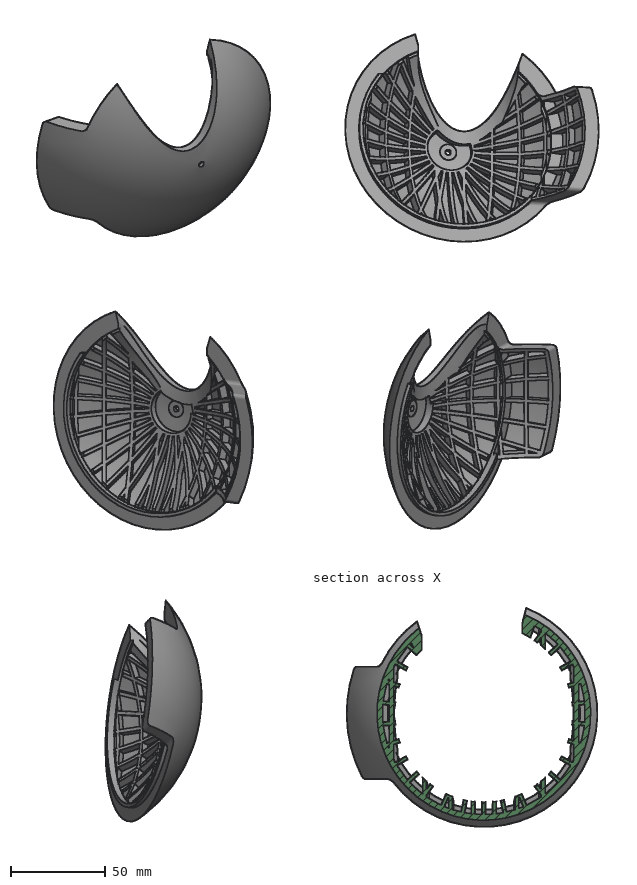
import cadquery as cq
import math

OUTER_R = 78.8
SKIN_R = 76.4
RIB_R = 72.0
RIM_R = 60.3
CENTRE_X = -math.sqrt(OUTER_R**2 - RIM_R**2)
SEAM_ANGLE = 99.0
REACH = 200.0

TAB_LENGTH = 48.7 - (OUTER_R + CENTRE_X)
TAB_TOP = 24.8
TAB_BOTTOM = -34.9
TAB_CORNER_R = 2.1
TAB_FRAME = 2.1

RIM_FRAME = 1.6
LIP_INNER_R = 51.0
LIP_OUTER_R = 52.9
LIP_HEIGHT = 2.2
LIP_TOP_Z = 31.3
LIP_END_Y = -39.9

RIB_WIDTH = 2.0
RIB_PITCH = 12.0
RIB_START = RIB_PITCH / 2
RADIAL_PLANES = 15
UPRIGHT_PAIRS = 5

HUB_R = 13.8
RECESS_R = 12.1
PAD_D = 8.9
PAD_HEIGHT = 0.2
HOLE_D = 3.0

OPENING_Y = -7.4
OPENING_BOTTOM = 11.3
OPENING_HALF_WIDTH = 36.9
OPENING_HALF_HEIGHT = 108.0
OPENING_BORDER = 7.3
RELIEF_Y = -6.3
RELIEF_HALF_WIDTH = 27.0
RELIEF_DEPTH = 22.6


def ball(radius):
    """Half ball around the centre of the bowl, with its seam turned into the opening."""
    quarter = (
        cq.Workplane("XY", origin=(CENTRE_X, 0, 0))
        .lineTo(radius, 0)
        .radiusArc((0, radius), -radius)
        .close()
    )
    half = quarter.revolve(360, (0, 0, 0), (1, 0, 0))
    return half.rotate((0, 0, 0), (1, 0, 0), SEAM_ANGLE)


def block(x_range, y_range, z_range):
    sizes = [high - low for low, high in (x_range, y_range, z_range)]
    lows = (x_range[0], y_range[0], z_range[0])
    return cq.Workplane("XY").box(*sizes, centered=False).translate(lows)


def rod(radius, x_start, x_end):
    return cq.Workplane("YZ", origin=(x_start, 0, 0)).circle(radius).extrude(x_end - x_start)


def front_region():
    """Everything in front of the rim plane, plus the rounded outline of the tab."""
    r = TAB_CORNER_R
    outline = (
        cq.Workplane("XZ")
        .moveTo(0, -REACH)
        .lineTo(0, TAB_BOTTOM - r)
        .radiusArc((-r, TAB_BOTTOM), -r)
        .lineTo(r - TAB_LENGTH, TAB_BOTTOM)
        .radiusArc((-TAB_LENGTH, TAB_BOTTOM + r), r)
        .lineTo(-TAB_LENGTH, TAB_TOP - r)
        .radiusArc((r - TAB_LENGTH, TAB_TOP), r)
        .lineTo(-r, TAB_TOP)
        .radiusArc((0, TAB_TOP + r), -r)
        .lineTo(0, REACH)
        .lineTo(REACH, REACH)
        .lineTo(REACH, -REACH)
        .close()
    )
    tab_side = outline.extrude(REACH)
    return tab_side.union(block((0, REACH), (-1, REACH), (-REACH, REACH)))


def opening(margin):
    """Elliptical prism along X, grown by a margin."""
    centre_z = OPENING_BOTTOM + OPENING_HALF_HEIGHT
    return (
        cq.Workplane("YZ", origin=(-REACH, 0, 0))
        .center(OPENING_Y, centre_z)
        .ellipse(OPENING_HALF_WIDTH + margin, OPENING_HALF_HEIGHT + margin)
        .extrude(2 * REACH)
    )


def relief():
    """Elliptical prism along Z that hollows the inside of the opening border."""
    return (
        cq.Workplane("XY")
        .center(0, RELIEF_Y)
        .ellipse(RELIEF_DEPTH, RELIEF_HALF_WIDTH)
        .extrude(REACH)
    )


def lip():
    ring = rod(LIP_OUTER_R, -LIP_HEIGHT, RIM_FRAME).cut(rod(LIP_INNER_R, -LIP_HEIGHT, RIM_FRAME))
    raised = block((-LIP_HEIGHT, 0), (LIP_END_Y, REACH), (-REACH, LIP_TOP_Z))
    flush = block((0, RIM_FRAME), (-REACH, REACH), (-REACH, REACH))
    return ring.intersect(raised.union(flush))


def rib_slab():
    """Thin slab in the XZ plane, through the centre of the bowl."""
    return cq.Workplane("XY").box(REACH, RIB_WIDTH, REACH).translate((CENTRE_X, 0, 0))


def rib_slabs():
    centre = (CENTRE_X, 0, 0)
    slabs = []
    for i in range(RADIAL_PLANES):
        slabs.append(rib_slab().rotate(centre, (0, 0, 0), RIB_PITCH * i))
    for i in range(UPRIGHT_PAIRS):
        angle = RIB_START + RIB_PITCH * i
        for side in (1, -1):
            slabs.append(rib_slab().rotate(centre, (CENTRE_X, 0, 1), side * angle))
    return slabs


def pockets():
    """The spaces between the ribs, from the rib tops out to the skin."""
    bowl = block((RIM_FRAME, REACH), (-REACH, REACH), (-REACH, REACH))
    tab = block(
        (TAB_FRAME - TAB_LENGTH, 0),
        (-REACH, LIP_END_Y),
        (TAB_BOTTOM + TAB_FRAME, TAB_TOP - TAB_FRAME),
    )
    space = ball(SKIN_R).cut(ball(RIB_R)).intersect(bowl.union(tab))
    space = space.cut(rod(HUB_R, 0, REACH)).cut(opening(OPENING_BORDER)).cut(lip())
    for slab in rib_slabs():
        space = space.cut(slab)
    return space


def hub_recess():
    pad = rod(PAD_D / 2, SKIN_R + CENTRE_X - PAD_HEIGHT, REACH)
    return ball(SKIN_R).intersect(rod(RECESS_R, 0, REACH)).cut(opening(OPENING_BORDER)).cut(pad)


shell = ball(OUTER_R).cut(ball(RIB_R)).intersect(front_region())
shell = shell.cut(rod(LIP_INNER_R, -LIP_HEIGHT, RIM_FRAME))
shell = shell.cut(pockets()).union(lip())
shell = shell.cut(hub_recess()).cut(rod(HOLE_D / 2, 0, REACH))
shell = shell.cut(relief()).cut(opening(0))
result = shell